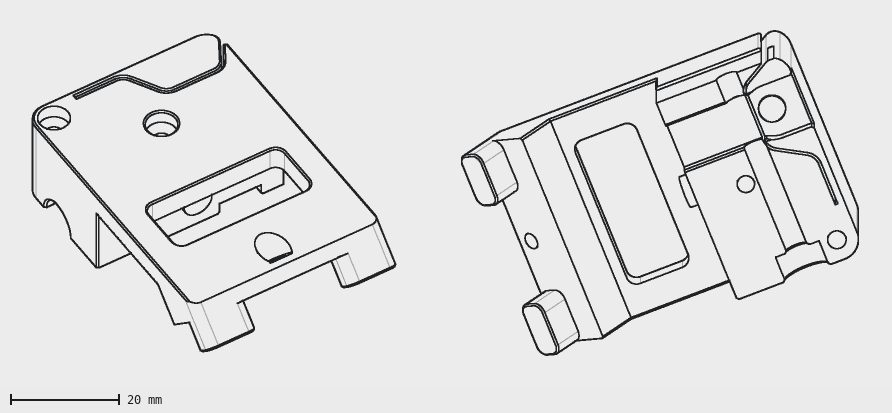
import cadquery as cq
import math

length = 64.0
width = 41.0
height = 19.0
mid_y = width / 2

plate_thickness = 5.0
underside_z = height - plate_thickness
block_length = 25.2
hook_tip_x = 51.6
hook_tip_z = 8.45
hook_start_x = hook_tip_x - (underside_z - hook_tip_z)
slope_top_x = 57.9
corner_radius = 3.95
top_chamfer = 0.3
underside_chamfer = 0.4
rear_step_depth = 0.65

slope_sum = slope_top_x + height
flank_difference = hook_tip_x - hook_tip_z
slope_end_x = (slope_sum + flank_difference) / 2
slope_end_z = (slope_sum - flank_difference) / 2
slope_radius = 1.9

prong_thickness = 5.9
prong_width = 10.4
prong_chamfer = 0.3
prong_length = (length - slope_end_x) * math.sqrt(2) + prong_chamfer

slot_width = 0.5
slot_bend_radius = 2.95
slot_end_y = 10.3
slot_narrow_x = 1.55
slot_wide_x = 9.55
slot_bend_y = 20.35
slot_angle = math.radians(30)
clip_mid_y = 31.05
clip_tip_radius = 2.1
nose_radius = 0.45

window_left = 31.85
window_length = 12.1
window_width = 29.4
window_radius = 1.9

screw_head_diameter = 6.0
screw_head_depth = 2.8
plate_hole_x = 15.6
plate_hole_y = 19.95
plate_hole_diameter = 3.2
corner_hole_diameter = 3.4

hook_hole_diameter = 3.1
hook_seat_difference = 37.3
hook_axis_sum = 72.4

passage_x = 11.4
passage_diameter = 4.0
passage_recess_diameter = 8.6
passage_recess_depth = 5.0
passage_rim = 0.4

pocket_diameter = 10.6
pocket_wall = 0.75
pocket_x = pocket_wall + pocket_diameter / 2
notch_width = 9.0
notch_height = 2.5
notch_rim = 0.4
pin_diameter = 5.0
pin_bottom_z = 1.9

boss_diameter = 6.0
boss_z = 8.2
boss_length = 2.2
boss_roof_angle = math.radians(30)
boss_bevel_z = 12.4


def make_body():
    """Side profile extruded over the full width, with the front left corner rounded."""
    body = (
        cq.Workplane("XZ")
        .moveTo(0, 0)
        .lineTo(block_length, 0)
        .lineTo(block_length, underside_z)
        .lineTo(hook_start_x, underside_z)
        .lineTo(hook_tip_x, hook_tip_z)
        .lineTo(slope_end_x, slope_end_z)
        .lineTo(slope_end_x, height)
        .lineTo(0, height)
        .close()
        .extrude(-width)
    )
    body = body.edges("|Z and <X and <Y").fillet(corner_radius)
    for y in (0, width):
        underside_edges = (
            (block_length, y, underside_z / 2),
            ((block_length + hook_start_x) / 2, y, underside_z),
            ((hook_start_x + hook_tip_x) / 2, y, (underside_z + hook_tip_z) / 2),
        )
        selection = body.edges(cq.NearestToPointSelector(underside_edges[0]))
        for point in underside_edges[1:]:
            selection = selection.add(body.edges(cq.NearestToPointSelector(point)))
        body = selection.chamfer(underside_chamfer)
    return body


def make_slot():
    """Narrow slot: straight, out along a diagonal, straight, and back out through the +Y side."""
    rise = (slot_wide_x - slot_narrow_x) * math.tan(slot_angle)
    low_bend_y = slot_bend_y + rise
    high_bend_y = 2 * clip_mid_y - low_bend_y
    exit_y = high_bend_y + slot_wide_x * math.tan(slot_angle)
    corners = ((slot_narrow_x, slot_bend_y), (slot_wide_x, low_bend_y), (slot_wide_x, high_bend_y))
    tangent = slot_bend_radius * math.tan((math.pi / 2 - slot_angle) / 2)
    sag = slot_bend_radius / math.cos((math.pi / 2 - slot_angle) / 2) - slot_bend_radius
    up = (0, 1)
    out = (math.cos(slot_angle), math.sin(slot_angle))
    back = (-math.cos(slot_angle), math.sin(slot_angle))
    path = cq.Workplane("XY").moveTo(slot_narrow_x, 0)
    for (x, y), before, after in zip(corners, (up, out, up), (out, up, back)):
        inward = (after[0] - before[0], after[1] - before[1])
        inward_length = math.hypot(*inward)
        middle = (x + sag * inward[0] / inward_length, y + sag * inward[1] / inward_length)
        path = path.lineTo(x - tangent * before[0], y - tangent * before[1])
        path = path.threePointArc(middle, (x + tangent * after[0], y + tangent * after[1]))
    path = path.lineTo(0, exit_y)
    slot = path.wire().offset2D(slot_width / 2).extrude(height)
    square_end = cq.Workplane("XY").box(2 * slot_wide_x, 2 * slot_end_y, 2 * height)
    return slot.cut(square_end)


def fillet_upright_edge(body, x, y, radius):
    """Round the full-height edge of the body nearest to (x, y)."""
    upright = body.edges("|Z")
    return upright.edges(cq.NearestToPointSelector((x, y, height / 2))).fillet(radius)


def cut_clip(body):
    """Free the clip from the body and round the tips on both sides of the slot mouth."""
    body = body.cut(make_slot())
    body = fillet_upright_edge(body, corner_radius, width, nose_radius)
    corner_y = width - corner_radius
    corner = cq.Workplane("XY").rect(corner_radius, corner_radius, centered=False).extrude(height)
    corner = corner.cut(cq.Workplane("XY").center(corner_radius, 0).circle(corner_radius).extrude(height))
    body = body.cut(corner.translate((0, corner_y, 0)))
    return fillet_upright_edge(body, corner_radius / 2, width, clip_tip_radius)


def make_window():
    return (
        cq.Workplane("XY")
        .center(window_left + window_length / 2, mid_y)
        .rect(window_length, window_width)
        .extrude(height)
        .edges("|Z")
        .fillet(window_radius)
    )


def make_screw_hole(x, y, diameter):
    """Through hole with a cylindrical head pocket ending in a 45 degree seat."""
    seat_z = height - screw_head_depth
    head_radius = screw_head_diameter / 2
    radius = diameter / 2
    return (
        cq.Workplane("XZ")
        .moveTo(0, 0)
        .lineTo(radius, 0)
        .lineTo(radius, seat_z - head_radius + radius)
        .lineTo(head_radius, seat_z)
        .lineTo(head_radius, height)
        .lineTo(0, height)
        .close()
        .revolve(360, (0, 0), (0, 1))
        .translate((x, y, 0))
    )


def sloped_plane(axis_sum, axis_difference, y):
    """Plane facing down the slope (+X, -Z), with its local x along +Y and local y up the flank."""
    origin = ((axis_sum + axis_difference) / 2, y, (axis_sum - axis_difference) / 2)
    return cq.Workplane(cq.Plane(origin=origin, xDir=(0, 1, 0), normal=(1, 0, -1)))


def make_slope_envelope():
    """Everything under the sloped end face, whose two long edges are rounded."""
    depth = 2 * length
    near = slope_radius
    sloped_edges = cq.selectors.BoxSelector(
        (slope_end_x - near, -near, slope_end_z - near),
        (slope_end_x + near, width + near, slope_end_z + near),
    )
    return (
        sloped_plane(slope_sum, flank_difference, mid_y)
        .center(0, -depth / 2)
        .rect(width, depth)
        .extrude(length, both=True)
        .edges(sloped_edges)
        .fillet(slope_radius)
    )


def make_prong(y):
    return (
        sloped_plane(slope_sum, flank_difference, y)
        .center(0, -prong_thickness / 2)
        .sketch()
        .rect(prong_width, prong_thickness)
        .vertices()
        .fillet(slope_radius)
        .finalize()
        .extrude(prong_length)
        .faces(cq.selectors.DirectionMinMaxSelector(cq.Vector(1, 0, -1)))
        .chamfer(prong_chamfer)
    )


def make_hook_hole():
    seat = sloped_plane(hook_axis_sum, hook_seat_difference, mid_y)
    head = seat.circle(screw_head_diameter / 2).extrude(-height)
    return seat.circle(hook_hole_diameter / 2).extrude(height).union(head)


def make_passage():
    """Cable passage along Y with a wider recess at the -Y side; both rims are chamfered."""
    radius = passage_diameter / 2
    recess_radius = passage_recess_diameter / 2
    return (
        cq.Workplane("XY")
        .moveTo(0, 0)
        .lineTo(recess_radius + passage_rim, 0)
        .lineTo(recess_radius, passage_rim)
        .lineTo(recess_radius, passage_recess_depth)
        .lineTo(radius + passage_rim, passage_recess_depth)
        .lineTo(radius, passage_recess_depth + passage_rim)
        .lineTo(radius, width)
        .lineTo(0, width)
        .close()
        .revolve(360, (0, 0), (0, 1))
        .translate((passage_x, 0, 0))
    )


def make_notch():
    """Notch along X: chamfered mouth, round pocket with a pin, then a narrower run through the block."""
    half_width = notch_width / 2
    mouth = cq.Workplane("XY").box(2 * pocket_x, pocket_diameter, 2 * notch_height)
    rim = (
        cq.Workplane("YZ")
        .rect(pocket_diameter + 2 * notch_rim, 2 * (notch_height + notch_rim))
        .workplane(offset=notch_rim)
        .rect(pocket_diameter, 2 * notch_height)
        .loft(ruled=True)
    )
    pocket = cq.Workplane("XY").circle(pocket_diameter / 2).extrude(notch_height).translate((pocket_x, 0, 0))
    run = (
        cq.Workplane("YZ")
        .moveTo(-half_width - notch_rim, 0)
        .lineTo(-half_width, notch_rim)
        .lineTo(-half_width, notch_height)
        .lineTo(half_width, notch_height)
        .lineTo(half_width, notch_rim)
        .lineTo(half_width + notch_rim, 0)
        .close()
        .extrude(block_length)
    )
    pin = cq.Workplane("XY").circle(pin_diameter / 2).extrude(height).translate((pocket_x, 0, pin_bottom_z))
    return mouth.union(rim).union(pocket).union(run).cut(pin).translate((0, clip_mid_y, 0))


def make_boss():
    """Cylinder along X with a steep tangent roof on top, bevelled at 45 degrees."""
    radius = boss_diameter / 2
    tangent_y = radius * math.cos(boss_roof_angle)
    tangent_z = radius * math.sin(boss_roof_angle)
    drop = (
        cq.Workplane("YZ", origin=(block_length, mid_y, boss_z))
        .moveTo(-tangent_y, tangent_z)
        .threePointArc((0, -radius), (tangent_y, tangent_z))
        .lineTo(0, radius / math.sin(boss_roof_angle))
        .close()
        .extrude(boss_length)
    )
    bevel = (
        cq.Workplane("XZ", origin=(block_length, 0, boss_bevel_z))
        .polyline([(0, 0), (height, -height), (height, height), (0, height)])
        .close()
        .extrude(-width)
    )
    return drop.cut(bevel)


result = cut_clip(make_body()).cut(make_window())
result = result.cut(make_screw_hole(plate_hole_x, plate_hole_y, plate_hole_diameter))
result = result.faces(">Z").edges().chamfer(top_chamfer)

rear_step = cq.Workplane("XY").box(
    block_length, rear_step_depth, hook_tip_z, centered=False)
result = result.cut(rear_step.translate((0, width - rear_step_depth, 0)))

result = result.intersect(make_slope_envelope())
result = result.cut(make_screw_hole(corner_radius, corner_radius, corner_hole_diameter))
for prong_y in (prong_width / 2, width - prong_width / 2):
    result = result.union(make_prong(prong_y))
result = result.cut(make_hook_hole())
result = result.cut(make_passage())
result = result.cut(make_notch())
result = result.union(make_boss())